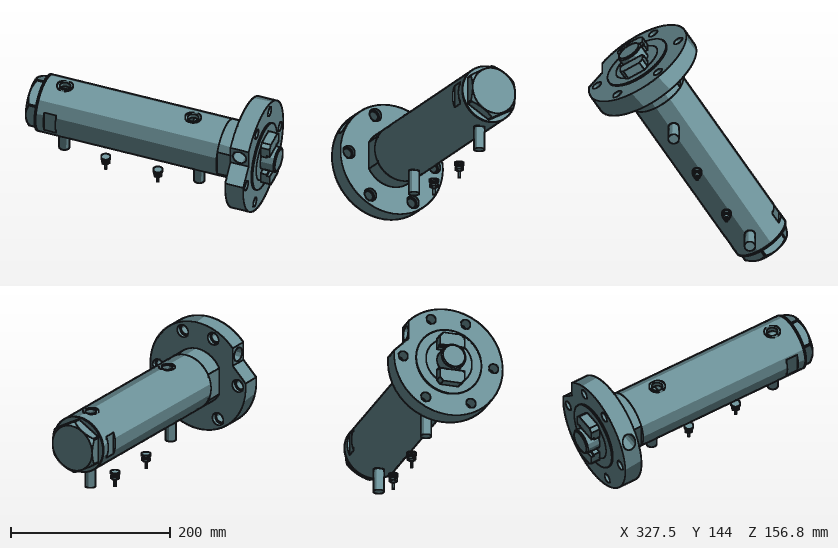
import cadquery as cq
import math


hex_length = 14.0
barrel_start = 16.0
cap_end = 43.0
nose_end = 52.5
piston_end = 65.5
gland_start = 212.5
barrel_end = 257.0
flange_start = 282.3
flange_end = 306.5
spigot_end = 308.5
tab_start = 309.0
relief_start = 317.5
tab_end = 321.3
rod_end = 327.5

barrel_radius = 36.7
bore_radius = 29.8
nose_radius = 23.0
rod_radius = 16.0

hex_across_flats = 60.0
hex_turned_radius = 34.0
hex_chamfer = 4.3

spanner_slot_start = 26.2
spanner_slot_width = 16.0
spanner_slot_half_span = 33.7
port_positions = [41.5, 213.0]
port_radius = 7.0
spotface_radius = 10.0
spotface_level = 35.5

pin_positions = [40.5, 221.0]
pin_diameter = 13.5
pin_radius = pin_diameter / 2
pin_top = -35.5
pin_bottom = -65.5

neck_radius = 30.5
collar_half_width = 32.0

flange_radius = 72.0
spigot_radius = 43.2
bolt_circle_radius = 60.0
bolt_angles = [0, 67.5, 112.5, 180, 240, 300]
bolt_hole_radius = 6.2
counterbore_radius = 8.2
counterbore_depth = 6.0
notch_face = -52.5
notch_corner = 25.5
cross_hole_radius = 9.0
cross_hole_level = 37.0

rod_chamfer = 1.5
tab_half_length = 33.0
tab_half_width = 16.5
tab_chamfer = 4.5
tab_gap = 14.0
relief_gap = 16.5

plug_positions = [96.0, 165.7]
plug_top = -65.2
plug_bottom = -84.8
plug_disc_radius = 6.0
plug_neck_radius = 3.5
plug_stem_radius = 1.3
plug_disc_bottom = -67.5
plug_neck_top = -68.8
plug_hex_top = -71.0
plug_hex_bottom = -74.5
plug_cone_bottom = -76.5
plug_hex_diameter = 10.5


def disc(radius, start, end):
    """Solid cylinder on the X axis between two stations."""
    return cq.Workplane("YZ").workplane(offset=start).circle(radius).extrude(end - start)


def box(x_range, y_range, z_range):
    """Box spanning the given (low, high) ranges."""
    sizes = [high - low for low, high in (x_range, y_range, z_range)]
    corner = (x_range[0], y_range[0], z_range[0])
    return cq.Workplane("XY").box(*sizes, centered=False).translate(corner)


def upright(x, radius, bottom, top):
    """Solid cylinder parallel to Z at station x."""
    return cq.Workplane("XY", origin=(x, 0, bottom)).circle(radius).extrude(top - bottom)


def mirrored_cut(body, tool, plane):
    """Cut the tool and its mirror image out of the body."""
    return body.cut(tool).cut(tool.mirror(plane))


def make_cap():
    corner_diameter = hex_across_flats / math.cos(math.radians(30))
    hexagon = (
        cq.Workplane("YZ")
        .transformed(rotate=(0, 0, 90))
        .polygon(6, corner_diameter)
        .extrude(hex_length)
    )
    turned = disc(hex_turned_radius, 0, hex_length).faces("<X").chamfer(hex_chamfer)
    collar = disc(barrel_radius, hex_length, barrel_start)
    boss = disc(nose_radius, barrel_start, cap_end)
    return hexagon.intersect(turned).union(collar).union(boss)


def make_barrel():
    barrel = disc(barrel_radius, barrel_start, barrel_end)
    spanner_slot = box(
        (spanner_slot_start, spanner_slot_start + spanner_slot_width),
        (spanner_slot_half_span, barrel_radius),
        (-barrel_radius, barrel_radius),
    )
    barrel = mirrored_cut(barrel, spanner_slot, "XZ")
    for x in port_positions:
        barrel = barrel.cut(upright(x, port_radius, 0, barrel_radius))
        barrel = barrel.cut(upright(x, spotface_radius, spotface_level, barrel_radius))
    for x in pin_positions:
        barrel = barrel.cut(upright(x, pin_radius, -barrel_radius, pin_top))
    return barrel.cut(disc(bore_radius, barrel_start, barrel_end))


def make_head():
    collar = disc(barrel_radius, barrel_end, flange_start)
    collar_flat = box(
        (barrel_end, flange_start),
        (collar_half_width, barrel_radius),
        (-barrel_radius, barrel_radius),
    )
    collar = mirrored_cut(collar, collar_flat, "XZ")
    gland = disc(bore_radius, gland_start, barrel_end)
    neck = disc(neck_radius, flange_start, spigot_end)
    return collar.union(gland).union(neck).cut(disc(rod_radius, gland_start, spigot_end))


def make_flange():
    flange = disc(flange_radius, flange_start, flange_end)
    reach = flange_radius
    notch = (
        cq.Workplane("YZ")
        .workplane(offset=flange_start)
        .polyline([
            (notch_face, notch_corner),
            (notch_face, notch_corner + reach),
            (notch_face - reach, notch_corner + reach),
            (notch_face - reach, notch_corner - reach),
        ])
        .close()
        .extrude(flange_end - flange_start)
    )
    flange = flange.cut(notch)
    for angle in bolt_angles:
        y = bolt_circle_radius * math.cos(math.radians(angle))
        z = bolt_circle_radius * math.sin(math.radians(angle))
        hole = disc(bolt_hole_radius, flange_start, flange_end)
        counterbore = disc(counterbore_radius, flange_start, flange_start + counterbore_depth)
        flange = flange.cut(hole.union(counterbore).translate((0, y, z)))
    cross_hole = (
        cq.Workplane("XZ", origin=((flange_start + flange_end) / 2, 0, cross_hole_level))
        .circle(cross_hole_radius)
        .extrude(flange_radius, both=True)
    )
    spigot = disc(spigot_radius, flange_end, spigot_end)
    return flange.cut(cross_hole).union(spigot).cut(disc(neck_radius, flange_start, spigot_end))


def make_piston_rod():
    nose = disc(nose_radius, cap_end, nose_end)
    piston = disc(bore_radius, nose_end, piston_end)
    rod = disc(rod_radius, piston_end, rod_end).faces(">X").chamfer(rod_chamfer)
    tabs = box(
        (tab_start, tab_end),
        (-tab_half_width, tab_half_width),
        (-tab_half_length, tab_half_length),
    ).edges("|X").chamfer(tab_chamfer)
    across = (-tab_half_width, tab_half_width)
    tabs = tabs.cut(box((tab_start, relief_start), across, (-tab_gap, tab_gap)))
    tabs = tabs.cut(box((relief_start, tab_end), across, (-relief_gap, relief_gap)))
    return nose.union(piston).union(rod).union(tabs)


def make_pin(x):
    return upright(x, pin_radius, pin_bottom, pin_top)


def make_plug(x):
    turned = (
        cq.Workplane("XZ")
        .polyline([
            (0, plug_top),
            (plug_disc_radius, plug_top),
            (plug_disc_radius, plug_disc_bottom),
            (plug_neck_radius, plug_neck_top),
            (plug_neck_radius, plug_hex_bottom),
            (plug_stem_radius, plug_cone_bottom),
            (plug_stem_radius, plug_bottom),
            (0, plug_bottom),
        ])
        .close()
        .revolve(360, (0, 0), (0, 1))
    )
    hexagon = (
        cq.Workplane("XY")
        .workplane(offset=plug_hex_bottom)
        .polygon(6, plug_hex_diameter)
        .extrude(plug_hex_top - plug_hex_bottom)
    )
    return turned.union(hexagon).translate((x, 0, 0))


cap = make_cap()
barrel = make_barrel()
head = make_head()
flange = make_flange()
piston_rod = make_piston_rod()
pins = [make_pin(x) for x in pin_positions]
plugs = [make_plug(x) for x in plug_positions]

result = cq.Compound.makeCompound([
    cap.val(),
    barrel.val(),
    head.val(),
    flange.val(),
    piston_rod.val(),
    *[pin.val() for pin in pins],
    *[plug.val() for plug in plugs],
])